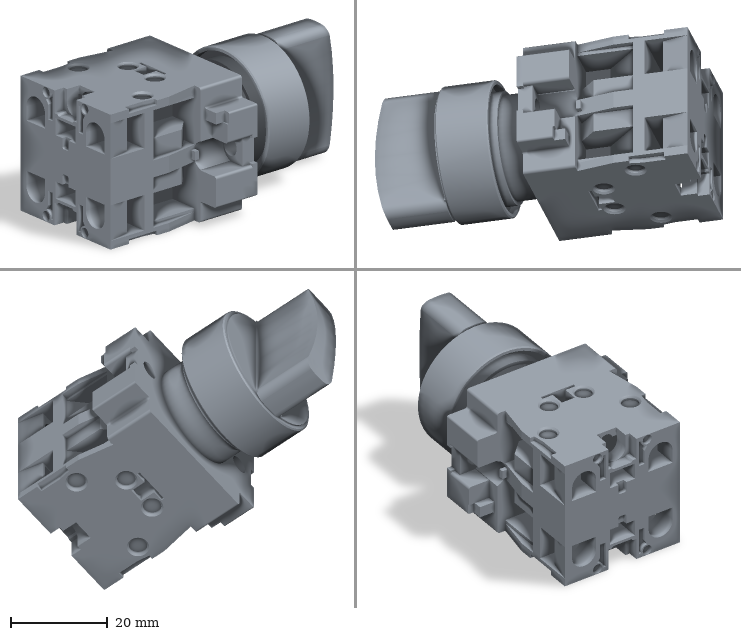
import cadquery as cq
import math


BLOCK_LENGTH = 23.95
MOUNT_FRONT = 35.1
NECK_FRONT = 41.4
BEZEL_BACK = 42.9
BEZEL_FRONT = 54.2
KNOB_BASE = 54.5
KNOB_TIP = 70.0

BEZEL_DIAMETER = 28.9
BEZEL_RADIUS = BEZEL_DIAMETER / 2
HANDLE_HALF_WIDTH = 3.9
HANDLE_CORNER = 2.0
HANDLE_DISH = 0.85
DISH_HALF_HEIGHT = 12.25
CROWN_DROP = 2.45
FOOT_OVERHANG = 0.35
FOOT_HEIGHT = 0.35
FOOT_HALF_HEIGHT = 13.0

LIP_RADIUS = 13.45
COLLAR_RADIUS = 12.0
NECK_RADIUS = 11.1
BEZEL_CHAMFER = 0.3
BEZEL_RECESS_RADIUS = 13.5
BEZEL_RECESS_DEPTH = 1.75

MOUNT_WIDTH = 30.0
MOUNT_HALF = MOUNT_WIDTH / 2
MOUNT_FILLET = 0.595
WING_OUTER = 20.0
WING_TOP = 10.2
WING_FILLET = 0.4
WEB_OUTER = 18.9
SLOT_RADIUS = 3.3
SLOT_EDGE_FILLET = 0.595
SLOT_CENTER = 16.0
SLOT_FLOOR = 32.0
SCREW_HOLE_RADIUS = 2.0
LIP_BACK = 33.8
LIP_INNER = 2.9
SHORT_WING_BACK = 27.0
WING_ROOT = 12.6
STOP_BACK = 25.1
STOP_OUTER = 18.55
STOP_INNER = 7.7
NOTCH_BACK = 27.45

BLOCK_WIDTH = 28.9
BLOCK_HALF_WIDTH = BLOCK_WIDTH / 2
BLOCK_HEIGHT = MOUNT_HALF
TAPER_START = 15.9
TAPER_HALF_WIDTH = 13.0
TAB_BACK = 22.9
TAB_HEIGHT = 1.0
BAY_BACK = 11.7
BAY_BOTTOM = 1.9
BAY_TOP = 13.1
BAY_STEP = 6.1
BAY_RIB = 12.3
UPPER_BAY_RAMP_END = 18.7
LOWER_BAY_RAMP_START = 20.5
PASSAGE_BACK = 5.6
PASSAGE_FRONT = 9.2
PASSAGE_BOTTOM = 5.2
PASSAGE_INSET = 1.25
WIRE_X = 9.6
WIRE_BOTTOM = 5.6
WIRE_RADIUS = 3.0
WIRE_TOP = 11.75
SCREW_Z = 12.5
SCREW_RADIUS = 1.6
SCREW_ENTRY_RADIUS = 2.45
SCREW_ENTRY_Z = 12.05
SCREW_ENTRY_DEPTH = 5.9
SCREW_RECESS_HALF_WIDTH = 3.5
SCREW_RECESS_DEPTH = 2.45
SCREW_RECESS_BOTTOM = 10.0
SCREW_RECESS_STEP = 0.4
SCREW_SLOT_BACK = 19.8
SCREW_SEAT_RADIUS = 2.4
SCREW_SEAT_HALF_WIDTH = 4.1
SCREW_SEAT_BACK = 23.25
WINDOW_HALF_WIDTH = 3.15
WINDOW_TOP = 8.95
KEYWAY_HALF_WIDTH = 1.0
KEYWAY_BOTTOM = 2.8
KEYWAY_FILLET = 0.5
FACE_RECESS_DEPTH = 1.0
PIN_X = 6.2
PIN_Z = 13.8
PIN_RADIUS = 1.1
PIN_RING_RADIUS = 1.5
LATCH_INNER = 4.1
LATCH_OUTER = 5.6
LATCH_BOTTOM = 8.0
LATCH_SHOULDER = 11.3
LATCH_TOP = 14.0
DIMPLE_RADIUS = 1.9
DIMPLE_CHAMFER = 0.4
DIMPLE_DEPTH = 1.0
DIMPLE_PLACES = [(4.35, 20.6), (10.3, 12.2)]
EDGE_NOTCH_BACK = 5.05
EDGE_NOTCH_BEND = 9.95
EDGE_NOTCH_FRONT = 12.7
EDGE_NOTCH_INNER = 13.0
EDGE_NOTCH_NARROW = 13.45
EDGE_NOTCH_DEPTH = 1.05

AXIS_START = (0, 0, 0)
AXIS_END = (0, 1, 0)


def box(x0, x1, y0, y1, z0, z1):
    """Box between two corners."""
    return cq.Workplane("XY").box(x1 - x0, y1 - y0, z1 - z0, centered=False).translate((x0, y0, z0))


def section(y):
    """Workplane across the switch axis, with local axes X and Z."""
    return cq.Workplane("XZ", origin=(0, y, 0))


def rod(radius, y0, y1, x=0, z=0):
    """Cylinder parallel to the switch axis."""
    return section(y0).center(x, z).circle(radius).extrude(y0 - y1)


def bar(points, y0, y1):
    """Bar of constant XZ outline parallel to the switch axis."""
    return section(y0).polyline(points).close().extrude(y0 - y1)


def slab(points, z0, z1):
    """Plate of constant XY outline."""
    return cq.Workplane("XY", origin=(0, 0, z0)).polyline(points).close().extrude(z1 - z0)


def half_turn(shape):
    return shape.rotate(AXIS_START, AXIS_END, 180)


def both_sides(shape):
    """Shape together with its mirror image across the YZ plane."""
    return shape.union(shape.mirror("YZ"))


def make_knob():
    handle = rod(BEZEL_RADIUS, KNOB_BASE, KNOB_TIP).intersect(
        box(-HANDLE_HALF_WIDTH, HANDLE_HALF_WIDTH, KNOB_BASE, KNOB_TIP, -BEZEL_RADIUS, BEZEL_RADIUS)
    )
    handle = handle.edges("|Y").fillet(HANDLE_CORNER)

    dish_radius = (DISH_HALF_HEIGHT**2 + HANDLE_DISH**2) / (2 * HANDLE_DISH)
    dish_x = HANDLE_HALF_WIDTH - HANDLE_DISH + dish_radius
    for side in (-1, 1):
        handle = handle.cut(rod(dish_radius, KNOB_BASE, KNOB_TIP, x=side * dish_x))

    crown = (
        cq.Workplane("YZ", origin=(-HANDLE_HALF_WIDTH, 0, 0))
        .moveTo(KNOB_BASE, -BEZEL_RADIUS)
        .lineTo(KNOB_TIP - CROWN_DROP, -BEZEL_RADIUS)
        .threePointArc((KNOB_TIP, 0), (KNOB_TIP - CROWN_DROP, BEZEL_RADIUS))
        .lineTo(KNOB_BASE, BEZEL_RADIUS)
        .close()
        .extrude(2 * HANDLE_HALF_WIDTH)
    )
    handle = handle.intersect(crown)

    foot_half = HANDLE_HALF_WIDTH + FOOT_OVERHANG
    foot_top = KNOB_BASE + FOOT_HEIGHT
    foot = box(-foot_half, foot_half, KNOB_BASE, foot_top, -FOOT_HALF_HEIGHT, FOOT_HALF_HEIGHT)
    foot = foot.intersect(rod(LIP_RADIUS, KNOB_BASE, KNOB_TIP))
    return handle.union(foot)


def make_head():
    bezel = rod(BEZEL_RADIUS, BEZEL_BACK, BEZEL_FRONT).edges().chamfer(BEZEL_CHAMFER)
    lip = rod(LIP_RADIUS, BEZEL_FRONT, KNOB_BASE)
    recess = rod(BEZEL_RECESS_RADIUS, BEZEL_BACK, BEZEL_BACK + BEZEL_RECESS_DEPTH)
    collar = rod(COLLAR_RADIUS, NECK_FRONT, BEZEL_FRONT)
    neck = rod(NECK_RADIUS, MOUNT_FRONT, BEZEL_FRONT)
    return bezel.cut(recess).union(lip).union(collar).union(neck)


def edge_near(x, y, z):
    return cq.selectors.NearestToPointSelector((x, y, z))


def make_wing(back):
    """Wing at -X, +Z, with its rear end at the given station."""
    wing = box(-WING_OUTER, -WING_ROOT, back, MOUNT_FRONT, SLOT_RADIUS, WING_TOP)
    middle = (back + MOUNT_FRONT) / 2
    wing = wing.edges(edge_near(-WING_OUTER, middle, SLOT_RADIUS)).fillet(SLOT_EDGE_FILLET)
    wing = wing.edges(edge_near(-WING_OUTER, middle, WING_TOP)).fillet(WING_FILLET)
    lip_top = SLOT_RADIUS + 2 * SLOT_EDGE_FILLET
    lip = box(-WING_OUTER, -WING_ROOT, LIP_BACK, MOUNT_FRONT, LIP_INNER, lip_top)
    return wing.union(lip).union(root_fillet(back))


def root_fillet(back):
    """Concave strip between the top of the -X, +Z wing and the side of the collar."""
    outer = MOUNT_HALF + WING_FILLET
    top = WING_TOP + WING_FILLET
    strip = box(-outer, -MOUNT_HALF, back, MOUNT_FRONT, WING_TOP, top)
    return strip.cut(rod(WING_FILLET, back, MOUNT_FRONT, x=-outer, z=top))


def make_short_wing():
    """Wing at -X, -Z that stops short and carries a stop block at its corner."""
    wing = make_wing(SHORT_WING_BACK).mirror("XY")
    wing = wing.cut(box(-WING_OUTER, -STOP_OUTER, SHORT_WING_BACK, NOTCH_BACK, -WING_TOP, -STOP_INNER))
    stop = box(-STOP_OUTER, -WING_ROOT, STOP_BACK, MOUNT_FRONT, -WING_TOP, -STOP_INNER)
    return wing.union(stop).union(root_fillet(STOP_BACK).mirror("XY"))


def make_mount():
    mount = box(-MOUNT_HALF, MOUNT_HALF, BLOCK_LENGTH, MOUNT_FRONT, -MOUNT_HALF, MOUNT_HALF)
    mount = mount.edges("|Y").fillet(MOUNT_FILLET)
    web = box(-WEB_OUTER, WEB_OUTER, SLOT_FLOOR, MOUNT_FRONT, -SLOT_RADIUS, SLOT_RADIUS)
    mount = mount.union(web)

    full_wing = make_wing(BLOCK_LENGTH)
    short_wing = make_short_wing()
    for wing in (full_wing, short_wing):
        mount = mount.union(wing).union(half_turn(wing))

    slot = box(-WING_OUTER, -SLOT_CENTER, BLOCK_LENGTH, SLOT_FLOOR, -SLOT_RADIUS, SLOT_RADIUS)
    slot = slot.union(rod(SLOT_RADIUS, BLOCK_LENGTH, SLOT_FLOOR, x=-SLOT_CENTER))
    hole = rod(SCREW_HOLE_RADIUS, SLOT_FLOOR, MOUNT_FRONT, x=-MOUNT_HALF)
    return mount.cut(both_sides(slot)).cut(both_sides(hole))


def block_body():
    outline = [
        (-BLOCK_HALF_WIDTH, 0),
        (BLOCK_HALF_WIDTH, 0),
        (BLOCK_HALF_WIDTH, TAPER_START),
        (TAPER_HALF_WIDTH, BLOCK_LENGTH),
        (-TAPER_HALF_WIDTH, BLOCK_LENGTH),
        (-BLOCK_HALF_WIDTH, TAPER_START),
    ]
    return slab(outline, 0, BLOCK_HEIGHT)


def side_bay():
    """Stepped bay in the +X side, with a 45 degree ramp in each of its two steps."""
    inset = box(TAPER_HALF_WIDTH, BLOCK_HALF_WIDTH, BAY_BACK, BLOCK_LENGTH, BAY_BOTTOM, BAY_TOP)
    upper_x = TAPER_HALF_WIDTH - (UPPER_BAY_RAMP_END - BAY_BACK)
    upper = slab(
        [
            (TAPER_HALF_WIDTH, BAY_BACK),
            (TAPER_HALF_WIDTH, BLOCK_LENGTH),
            (upper_x, BLOCK_LENGTH),
            (upper_x, UPPER_BAY_RAMP_END),
        ],
        BAY_STEP,
        BAY_RIB,
    )
    lower_x = TAPER_HALF_WIDTH - (BLOCK_LENGTH - LOWER_BAY_RAMP_START)
    lower = slab(
        [
            (TAPER_HALF_WIDTH, LOWER_BAY_RAMP_START),
            (TAPER_HALF_WIDTH, BLOCK_LENGTH),
            (lower_x, BLOCK_LENGTH),
        ],
        BAY_BOTTOM,
        BAY_STEP,
    )
    return inset.union(upper).union(lower)


def cross_passage():
    """Passage across the block, flared towards the terminal face at both ends."""
    throat = BLOCK_HALF_WIDTH - PASSAGE_INSET
    outline = [
        (BLOCK_HALF_WIDTH, 0),
        (BLOCK_HALF_WIDTH, PASSAGE_FRONT),
        (-BLOCK_HALF_WIDTH, PASSAGE_FRONT),
        (-BLOCK_HALF_WIDTH, 0),
        (-throat, PASSAGE_BACK),
        (throat, PASSAGE_BACK),
    ]
    return slab(outline, PASSAGE_BOTTOM, BAY_TOP)


def wire_entry():
    """Arched wire hole from the terminal face into the cross passage."""
    spring = WIRE_TOP - WIRE_RADIUS
    return (
        section(0)
        .moveTo(WIRE_X - WIRE_RADIUS, WIRE_BOTTOM)
        .lineTo(WIRE_X - WIRE_RADIUS, spring)
        .threePointArc((WIRE_X, WIRE_TOP), (WIRE_X + WIRE_RADIUS, spring))
        .lineTo(WIRE_X + WIRE_RADIUS, WIRE_BOTTOM)
        .close()
        .extrude(-PASSAGE_FRONT)
    )


def latch_recess():
    """Shallow recess in the terminal face that curls round a pin socket."""
    ring_start = PIN_X - math.sqrt(PIN_RING_RADIUS**2 - (LATCH_TOP - PIN_Z) ** 2)
    diagonal = PIN_RING_RADIUS * math.sqrt(0.5)
    recess = (
        section(0)
        .moveTo(LATCH_INNER, LATCH_BOTTOM)
        .lineTo(LATCH_INNER, LATCH_TOP)
        .lineTo(ring_start, LATCH_TOP)
        .threePointArc((PIN_X - diagonal, PIN_Z - diagonal), (PIN_X, PIN_Z - PIN_RING_RADIUS))
        .lineTo(LATCH_OUTER, LATCH_SHOULDER)
        .lineTo(LATCH_OUTER, LATCH_BOTTOM)
        .close()
        .extrude(-FACE_RECESS_DEPTH)
    )
    return recess.union(rod(PIN_RADIUS, 0, FACE_RECESS_DEPTH, x=PIN_X, z=PIN_Z))


def open_channel(radius, y0, y1, z):
    """Round-bottomed channel open to the outer face of the block."""
    return rod(radius, y0, y1, z=z).union(box(-radius, radius, y0, y1, z, BLOCK_HEIGHT))


def screw_way():
    """Clamping screw hole along the block, opened to the outer face at both ends."""
    floor = SCREW_RECESS_BOTTOM - SCREW_RECESS_STEP
    floor_half = SCREW_ENTRY_RADIUS - SCREW_RECESS_STEP / 2
    shoulder_half = floor_half + SCREW_RECESS_STEP
    recess = bar(
        [
            (-SCREW_RECESS_HALF_WIDTH, BLOCK_HEIGHT),
            (-SCREW_RECESS_HALF_WIDTH, SCREW_RECESS_BOTTOM),
            (-shoulder_half, SCREW_RECESS_BOTTOM),
            (-floor_half, floor),
            (floor_half, floor),
            (shoulder_half, SCREW_RECESS_BOTTOM),
            (SCREW_RECESS_HALF_WIDTH, SCREW_RECESS_BOTTOM),
            (SCREW_RECESS_HALF_WIDTH, BLOCK_HEIGHT),
        ],
        0,
        SCREW_RECESS_DEPTH,
    )
    entry = open_channel(SCREW_ENTRY_RADIUS, 0, SCREW_ENTRY_DEPTH, SCREW_ENTRY_Z)
    hole = rod(SCREW_RADIUS, 0, BLOCK_LENGTH, z=SCREW_Z)
    slot = open_channel(SCREW_RADIUS, SCREW_SLOT_BACK, BLOCK_LENGTH, SCREW_Z)
    seat = open_channel(SCREW_SEAT_RADIUS, SCREW_SEAT_BACK, BLOCK_LENGTH, SCREW_Z)
    half = SCREW_SEAT_HALF_WIDTH
    seat_top = box(-half, half, SCREW_SEAT_BACK, BLOCK_LENGTH, SCREW_Z, BLOCK_HEIGHT)
    return recess.union(entry).union(hole).union(slot).union(seat).union(seat_top)


def window():
    """Rectangular opening into the cross passage, with a shallow keyway below it."""
    opening = box(-WINDOW_HALF_WIDTH, WINDOW_HALF_WIDTH, 0, PASSAGE_FRONT, PASSAGE_BOTTOM, WINDOW_TOP)
    keyway = box(-KEYWAY_HALF_WIDTH, KEYWAY_HALF_WIDTH, 0, FACE_RECESS_DEPTH, KEYWAY_BOTTOM, WINDOW_TOP)
    keyway = keyway.edges("|Y and <Z").fillet(KEYWAY_FILLET)
    return opening.union(keyway)


def edge_notch():
    """Shallow notch in the outer face, along the +X edge."""
    outline = [
        (BLOCK_HALF_WIDTH, EDGE_NOTCH_FRONT),
        (EDGE_NOTCH_NARROW, EDGE_NOTCH_FRONT),
        (EDGE_NOTCH_INNER, EDGE_NOTCH_BEND),
        (EDGE_NOTCH_INNER, EDGE_NOTCH_BACK),
        (BLOCK_HALF_WIDTH, EDGE_NOTCH_BACK),
    ]
    return slab(outline, BLOCK_HEIGHT - EDGE_NOTCH_DEPTH, BLOCK_HEIGHT)


def dimple(x, y):
    """Round dimple in the outer face, with a 45 degree chamfer at its rim."""
    bottom = BLOCK_HEIGHT - DIMPLE_DEPTH
    bore = cq.Workplane("XY", origin=(x, y, bottom)).circle(DIMPLE_RADIUS).extrude(DIMPLE_DEPTH)
    rim_radius = DIMPLE_RADIUS + DIMPLE_CHAMFER
    rim = cq.Workplane("XY", origin=(x, y, BLOCK_HEIGHT)).circle(rim_radius)
    return bore.union(rim.extrude(-DIMPLE_CHAMFER, taper=45))


def make_contact_block():
    """Upper contact block; its lower face lies on the plane Z = 0."""
    tab = box(0, BLOCK_HALF_WIDTH, TAB_BACK, BLOCK_LENGTH, 0, TAB_HEIGHT)
    block = block_body().union(both_sides(tab))
    block = block.cut(cross_passage()).cut(screw_way()).cut(window())

    side_features = [side_bay(), wire_entry(), latch_recess(), edge_notch()]
    side_features += [dimple(x, y) for x, y in DIMPLE_PLACES]
    for side_feature in side_features:
        block = block.cut(both_sides(side_feature))
    return block


knob = make_knob()
head = make_head()
mount = make_mount()
upper_block = make_contact_block()
contact_blocks = [upper_block.rotate(AXIS_START, AXIS_END, turn) for turn in (0, 180)]

result = cq.Compound.makeCompound(
    [
        *knob.solids().vals(),
        *head.solids().vals(),
        *mount.solids().vals(),
        *[block.solids().val() for block in contact_blocks],
    ]
)